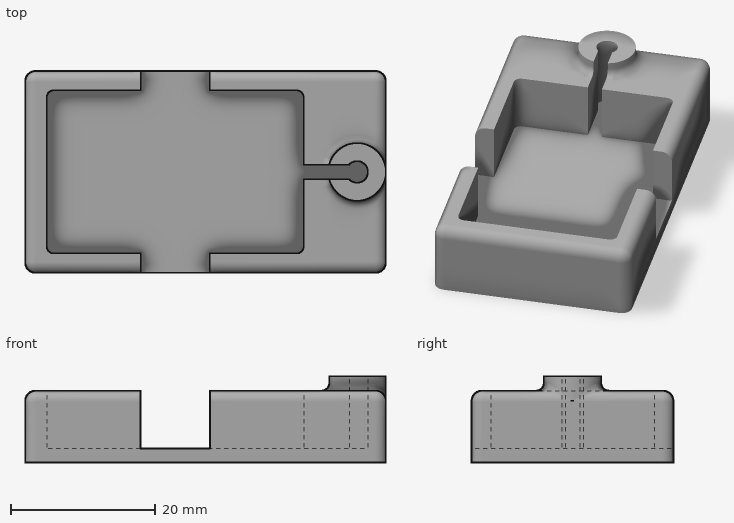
import cadquery as cq

body_length = 50.0
body_width = 28.0
body_height = 10.0
edge_radius = 1.5

floor_thickness = 2.0
end_wall = 3.0
pocket_length = 35.6
pocket_width = 22.6
pocket_corner_radius = 1.0

notch_length = 9.6
notch_offset = 16.0

boss_radius = 4.0
boss_end_gap = 0.001
boss_height = 2.0
boss_fillet = 1.0
cable_hole_radius = 1.5
cable_slot_width = 2.0

total_height = body_height + boss_height
cut_height = total_height - floor_thickness
body_left = -body_length / 2
pocket_left = body_left + end_wall
pocket_right = pocket_left + pocket_length
boss_x = body_length / 2 - boss_radius - boss_end_gap


def block_on_floor(x_start, length, width):
    """Cutting block from the floor up past the boss, centred in Y."""
    return (
        cq.Workplane("XY")
        .box(length, width, cut_height, centered=(False, True, False))
        .translate((x_start, 0, floor_thickness))
    )


def make_body():
    """Block with rounded vertical and top edges and a sharp bottom."""
    block = cq.Workplane("XY").box(body_length, body_width, body_height, centered=(True, True, False))
    return block.edges("|Z or >Z").fillet(edge_radius)


def add_boss(body):
    """Round boss rising through the end edge, blended into the body along their joint."""
    boss = cq.Workplane("XY").center(boss_x, 0).circle(boss_radius).extrude(total_height)
    joined = body.union(boss)
    rounding_start = body_height - edge_radius
    joint_zone = cq.selectors.BoxSelector(
        (boss_x - 2 * boss_radius, -boss_radius, rounding_start),
        (body_length / 2, boss_radius, body_height + boss_fillet),
    )
    return joined.edges(joint_zone).fillet(boss_fillet)


def make_pocket():
    """Rectangular pocket with rounded vertical corners."""
    pocket = block_on_floor(pocket_left, pocket_length, pocket_width)
    return pocket.edges("|Z").fillet(pocket_corner_radius)


def make_notch():
    """Gap through both long walls, down to the floor."""
    return block_on_floor(body_left + notch_offset, notch_length, body_width)


def make_cable_passage():
    """Keyhole: a round hole in the boss joined to the pocket by a narrow slot."""
    slot = block_on_floor(pocket_right, boss_x - pocket_right, cable_slot_width)
    hole = (
        cq.Workplane("XY", origin=(boss_x, 0, floor_thickness))
        .circle(cable_hole_radius)
        .extrude(cut_height)
    )
    return slot.union(hole)


result = add_boss(make_body())
for cutter in (make_pocket(), make_notch(), make_cable_passage()):
    result = result.cut(cutter)